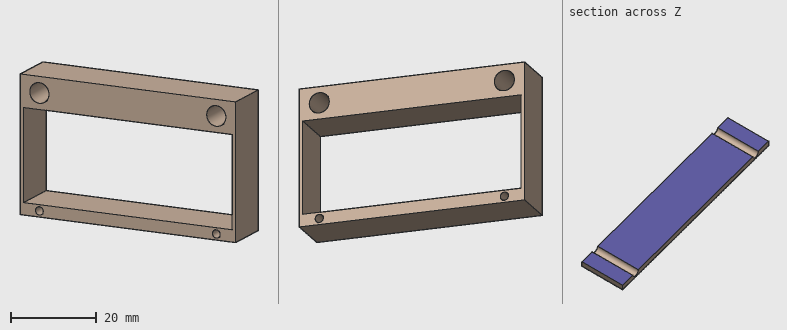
import cadquery as cq

length = 56.0
depth = 12.0
height = 34.0

side_wall = 0.9
top_bar = 8.0
bottom_bar = 3.0
window_length = length - 2 * side_wall
window_height = height - top_bar - bottom_bar
window_center_z = (bottom_bar - top_bar) / 2

hole_spacing = 46.0
large_hole_diameter = 5.0
small_hole_diameter = 2.0
large_hole_z = (height - top_bar) / 2
small_hole_z = (bottom_bar - height) / 2


def hole_pair(diameter, z):
    """Two cylinders along Y that cut through the full depth at height z."""
    return (
        cq.Workplane("XZ")
        .pushPoints([(side * hole_spacing / 2, z) for side in (-1, 1)])
        .circle(diameter / 2)
        .extrude(depth / 2, both=True)
    )


frame = cq.Workplane("XY").box(length, depth, height)
window = (
    cq.Workplane("XY")
    .box(window_length, depth, window_height)
    .translate((0, 0, window_center_z))
)

result = (
    frame.cut(window)
    .cut(hole_pair(large_hole_diameter, large_hole_z))
    .cut(hole_pair(small_hole_diameter, small_hole_z))
)